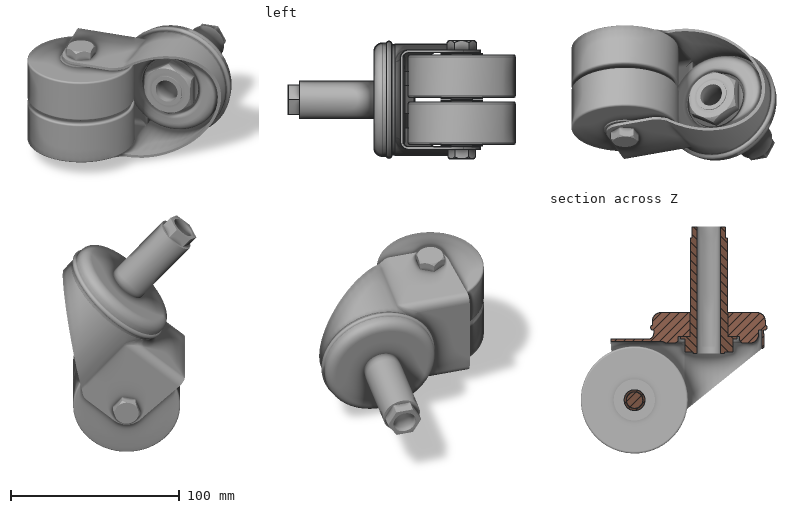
import cadquery as cq
import math


axle_x = -44.0
wheel_radius = 31.7
wheel_edge_round = 1.1
hub_radius = 12.2
hub_height = 0.8
sleeve_radius = 6.3
side_gap = 1.3

sheet = 1.6
cheek_outer_z = 29.4
cheek_inner_z = cheek_outer_z - sheet
web_top_y = 36.3
web_bottom_y = web_top_y - sheet
bend_radius = 4.8
fork_left_x = -58.2
axle_boss_radius = 11.0
slope_corner_round = 6.7

skirt_radius = 32.9
skirt_inner_radius = skirt_radius - sheet
neck_radius = 32.7
neck_bottom_y = 39.4
bead_y = 43.0
bead_radius = 1.6
bead_outer_radius = 34.7
cap_radius = 33.6
cap_top_y = 52.0
cap_round = 5.2
skirt_low_y = 31.5
slope_x_run = 34.0
slope_y_drop = 27.4
joint_blend = 3.0

race_outer_radius = 29.5
race_outer_round = 5.4
race_bore_radius = 18.0
race_bore_round = 2.7
race_bore_depth = 3.9
race_drop = 1.1
groove_top_y = 41.4
race_floor_y = web_bottom_y - race_drop
race_top_y = race_floor_y + race_bore_depth

stem_radius = 11.2
overall_length = 134.4
stem_top_y = overall_length - wheel_radius
stem_hex_corners = 20.3
stem_hex_length = 6.6
stem_bore_radius = 6.9
stem_nut_flats = 28.8
stem_nut_end_y = 28.2
stem_washer_radius = 16.8
stem_washer_height = 1.3
stem_tip_radius = 9.5
stem_tip_length = 0.7

shank_radius = 4.7
bolt_head_flats = 15.2
nut_flats = 14.2
hex_height = 5.6
chamfer_angle = math.radians(49)

half_hex_turn = 30
hex_corner_ratio = 2 / math.sqrt(3)
joint_overlap = 1.3
cheek_joint_x = -math.sqrt(skirt_radius**2 - cheek_outer_z**2)


def cylinder_y(radius, y_low, y_high):
    """Cylinder on the stem axis."""
    return cq.Workplane("XZ", origin=(0, y_low, 0)).circle(radius).extrude(y_low - y_high)


def cylinder_z(radius, z_low, z_high):
    """Cylinder on the axle axis."""
    return cq.Workplane("XY", origin=(axle_x, 0, z_low)).circle(radius).extrude(z_high - z_low)


def block(x_low, x_high, y_low, y_high, half_z):
    """Box that is symmetric about the middle plane."""
    return (
        cq.Workplane("XY", origin=(0, 0, -half_z))
        .moveTo(x_low, y_low)
        .lineTo(x_high, y_low)
        .lineTo(x_high, y_high)
        .lineTo(x_low, y_high)
        .close()
        .extrude(2 * half_z)
    )


def chamfered_hex(flats, height):
    """Hexagon prism standing on the XY plane, corners on +-Y, top corners cut by a cone."""
    corner_radius = flats * hex_corner_ratio / 2
    chamfer_drop = (corner_radius - flats / 2) * math.tan(chamfer_angle)
    prism = cq.Workplane("XY").polygon(6, 2 * corner_radius).extrude(height)
    prism = prism.rotate((0, 0, 0), (0, 0, 1), half_hex_turn)
    turned = (
        cq.Workplane("XZ")
        .moveTo(0, 0)
        .lineTo(corner_radius, 0)
        .lineTo(corner_radius, height - chamfer_drop)
        .lineTo(flats / 2, height)
        .lineTo(0, height)
        .close()
        .revolve(360, (0, 0, 0), (0, 1, 0))
    )
    return prism.intersect(turned)


def fork_outline():
    """Side shape of cheeks and skirt: slanted left edge, round axle end, slanted skirt edge."""
    corner_dx = fork_left_x - axle_x
    corner_angle = math.atan2(web_top_y, corner_dx)
    tangent_angle = corner_angle + math.acos(axle_boss_radius / math.hypot(corner_dx, web_top_y))
    mid_angle = (tangent_angle + 1.5 * math.pi) / 2
    bottom_y = -axle_boss_radius
    slope_bottom_x = skirt_radius - slope_x_run * (skirt_low_y - bottom_y) / slope_y_drop

    def on_axle_circle(angle):
        return axle_x + axle_boss_radius * math.cos(angle), axle_boss_radius * math.sin(angle)

    outline = (
        cq.Workplane("XY", origin=(0, 0, -skirt_radius))
        .moveTo(fork_left_x, web_top_y)
        .lineTo(*on_axle_circle(tangent_angle))
        .threePointArc(on_axle_circle(mid_angle), (axle_x, bottom_y))
        .lineTo(slope_bottom_x, bottom_y)
        .lineTo(skirt_radius, skirt_low_y)
        .lineTo(skirt_radius, neck_bottom_y)
        .lineTo(fork_left_x, neck_bottom_y)
        .close()
        .extrude(2 * skirt_radius)
    )
    corner = cq.selectors.NearestToPointSelector((slope_bottom_x, bottom_y, 0))
    return outline.edges(corner).fillet(slope_corner_round)


def make_cap():
    """Turned cap and neck with a bead around the joint between them."""
    profile = (
        cq.Workplane("XY")
        .moveTo(0, cap_top_y)
        .lineTo(cap_radius - cap_round, cap_top_y)
        .radiusArc((cap_radius, cap_top_y - cap_round), cap_round)
        .lineTo(cap_radius, bead_y)
        .lineTo(neck_radius, bead_y)
        .lineTo(neck_radius, neck_bottom_y)
        .lineTo(0, neck_bottom_y)
        .close()
    )
    cap = profile.revolve(360, (0, 0, 0), (0, 1, 0))
    bead_ring_radius = bead_outer_radius - bead_radius
    bead = (
        cq.Workplane("XY")
        .center(bead_ring_radius, bead_y)
        .circle(bead_radius)
        .revolve(360, (-bead_ring_radius, 0, 0), (-bead_ring_radius, 1, 0))
    )
    return cap.union(bead)


def make_raceway():
    """Turned ring with rounded edges that hangs from the inside of the head."""
    profile = (
        cq.Workplane("XY")
        .moveTo(race_outer_radius, groove_top_y)
        .lineTo(race_outer_radius, race_floor_y + race_outer_round)
        .radiusArc((race_outer_radius - race_outer_round, race_floor_y), race_outer_round)
        .lineTo(race_bore_radius + race_bore_round, race_floor_y)
        .radiusArc((race_bore_radius, race_floor_y + race_bore_round), race_bore_round)
        .lineTo(race_bore_radius, race_top_y)
        .lineTo(stem_radius, race_top_y)
        .lineTo(stem_radius, groove_top_y)
        .close()
    )
    return profile.revolve(360, (0, 0, 0), (0, 1, 0))


def make_fork():
    """Bent sheet fork with curved skirt, swivel head, stem hole and axle holes."""
    bottom_y = -axle_boss_radius
    cheek_end_x = cheek_joint_x + joint_overlap
    channel = block(fork_left_x, cheek_end_x, bottom_y, web_top_y, cheek_outer_z)
    channel = channel.edges("|X and >Y").fillet(bend_radius)
    channel_space = block(fork_left_x, cheek_end_x, bottom_y, web_bottom_y, cheek_inner_z)
    channel_space = channel_space.edges("|X and >Y").fillet(bend_radius - sheet)

    shell = channel.union(cylinder_y(skirt_radius, bottom_y, neck_bottom_y))
    around_joint = cq.selectors.BoxSelector(
        (-skirt_radius, bottom_y + sheet, -skirt_radius),
        (cheek_end_x, web_top_y + sheet, skirt_radius),
    )
    shell = shell.edges(around_joint).fillet(joint_blend)
    fork = shell.intersect(fork_outline()).union(make_cap())

    fork = fork.cut(channel_space)
    fork = fork.cut(cylinder_y(skirt_inner_radius, bottom_y, web_bottom_y))
    skirt_side = block(cheek_joint_x, skirt_radius, bottom_y, groove_top_y, skirt_radius)
    fork = fork.cut(cylinder_y(skirt_inner_radius, web_bottom_y, groove_top_y).intersect(skirt_side))
    fork = fork.cut(cylinder_y(race_bore_radius, bottom_y, groove_top_y))
    fork = fork.union(make_raceway())
    fork = fork.cut(cylinder_y(stem_radius, bottom_y, cap_top_y))
    return fork.cut(cylinder_z(shank_radius, -cheek_outer_z, cheek_outer_z))


def make_stem():
    """Hollow stem with a hexagon end on top and a washer-faced hexagon collar under the head."""
    collar_top_y = race_top_y
    tip_y = stem_nut_end_y - stem_tip_length
    collar = chamfered_hex(stem_nut_flats, collar_top_y - stem_nut_end_y)
    collar = collar.rotate((0, 0, 0), (1, 0, 0), 90).translate((0, collar_top_y, 0))
    hex_end = (
        cq.Workplane("XZ", origin=(0, stem_top_y, 0))
        .polygon(6, stem_hex_corners)
        .extrude(stem_hex_length)
    )
    stem = cylinder_y(stem_radius, collar_top_y, stem_top_y - stem_hex_length)
    stem = stem.union(hex_end).union(collar)
    stem = stem.union(cylinder_y(stem_tip_radius, tip_y, collar_top_y))
    stem = stem.union(cylinder_y(stem_washer_radius, collar_top_y - stem_washer_height, collar_top_y))
    return stem.cut(cylinder_y(stem_bore_radius, tip_y, stem_top_y))


def make_wheel(side):
    """Wheel between the middle plane and the cheek on the given side (+1 or -1)."""
    face_low = side_gap
    face_high = cheek_inner_z - side_gap
    tread = cylinder_z(wheel_radius, face_low, face_high).edges().fillet(wheel_edge_round)
    hub = cylinder_z(hub_radius, face_low - hub_height, face_high + hub_height)
    sleeve = cylinder_z(sleeve_radius, 0, cheek_inner_z)
    wheel = tread.union(hub).union(sleeve)
    wheel = wheel.cut(cylinder_z(shank_radius, 0, cheek_inner_z))
    return wheel if side > 0 else wheel.mirror("XY")


def make_bolt():
    """Axle bolt with its head on the +Z cheek and its shank through to the end of the nut."""
    head = chamfered_hex(bolt_head_flats, hex_height).translate((axle_x, 0, cheek_outer_z))
    shank = cylinder_z(shank_radius, -cheek_outer_z - hex_height, cheek_outer_z)
    return head.union(shank)


def make_nut():
    """Axle nut on the -Z cheek."""
    nut = chamfered_hex(nut_flats, hex_height).mirror("XY").translate((axle_x, 0, -cheek_outer_z))
    return nut.cut(cylinder_z(shank_radius, -cheek_outer_z - hex_height, -cheek_outer_z))


fork = make_fork()
stem = make_stem()
wheels = [make_wheel(side) for side in (1, -1)]
bolt = make_bolt()
nut = make_nut()

result = cq.Compound.makeCompound(
    [fork.val(), stem.val(), *[wheel.val() for wheel in wheels], bolt.val(), nut.val()]
)